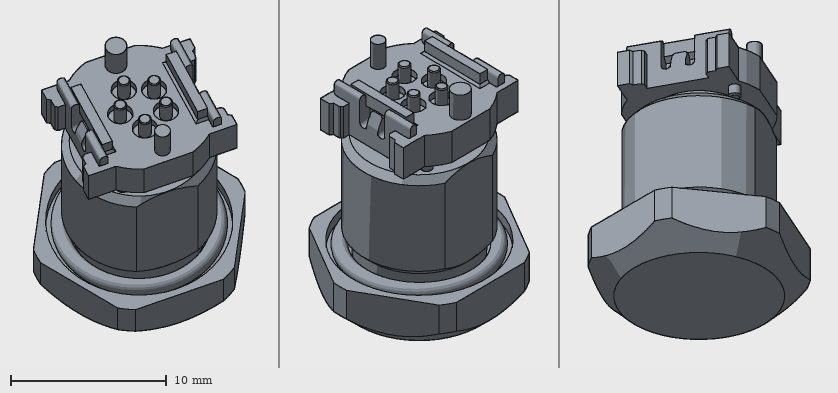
import cadquery as cq
import math

HEX_TOP = 4.0
NECK_TOP = 4.5
BODY_TOP = 12.5
CARRIER_BOTTOM = 13.5
CARRIER_TOP = 16.0
CLIP_TOP = 17.0
PEG_TOP = 18.0

HEX_ACROSS_FLATS = 13.0
HEX_CORNER_DIAMETER = 14.38
HEX_BOTTOM_RADIUS = 5.49
GROOVE_RADIUS = 6.01
GROOVE_FLOOR = 3.19

RING_OUTER_RADIUS = 5.67
RING_TOP = 4.25
RING_TUBE_RADIUS = 0.54

NECK_RADIUS = 4.34
BODY_RADIUS = 5.0
BODY_FLATS_WIDTH = 9.04
BODY_TOP_CHAMFER = 0.5
COLLAR_RADIUS = 3.1

CARRIER_WIDTH = 9.4
EAR_SPAN_X = 7.56
EAR_SPAN_Y = 10.4
RECESS_WIDTH = 4.18
RECESS_MOUTH_WIDTH = 5.94
RECESS_STEP_WIDTH = 5.62
RECESS_STEP_DEPTH = 0.23
LIP_WIDTH = 0.3
LIP_DEPTH = 0.2
LIP_BEND_WIDTH = 0.15
LIP_BEND_DEPTH = 0.04
RECESS_WALL_Y = 4.27

RAIL_LENGTH = 6.95
RAIL_INNER_Y = 3.69
RAIL_END_ROUNDING = 0.23
BAR_LENGTH = 5.04
BAR_INNER_Y = 2.99
SKIRT_WIDTH = 0.18
SKIRT_HEIGHT = 0.16

WINDOW_WIDTH = 2.27
WINDOW_BOTTOM = 14.7
SLOT_WIDTH = 0.63
UNDERCUT = 0.35
TONGUE_TOP = 16.05
TONGUE_TIP_Y = 3.8
TONGUE_BEND = 15.28
TONGUE_BEND_Y = 4.18
TONGUE_FOOT = 14.8
TONGUE_TIP_CHAMFER = 0.15

PIN_RADIUS = 0.41
PIN_CHAMFER = 0.07
PIN_HOLE_RADIUS = 0.81
PIN_HOLE_DEPTH = 0.5
PIN_POSITIONS = [(-0.95, 1.45), (0.95, 1.45), (-1.7, -0.35), (1.7, -0.35), (0, -1.33)]
PEG_X = 3.75
LARGE_PEG_RADIUS = 0.7
SMALL_PEG_RADIUS = 0.5
STUD_X = 3.3
STUD_Y = 2.61
STUD_RADIUS = 0.41
STUD_BOTTOM = 12.73
STUD_CHAMFER = 0.1

OVERLAP = 0.18


def box(x_size, y_min, y_max, z_min, z_max):
    """Box centred on X, between the given Y and Z limits."""
    return (
        cq.Workplane("XY", origin=(0, 0, z_min))
        .center(0, (y_min + y_max) / 2)
        .rect(x_size, y_max - y_min)
        .extrude(z_max - z_min)
    )


def cylinder(radius, z_min, z_max, x=0, y=0):
    """Vertical cylinder between two heights."""
    return cq.Workplane("XY", origin=(x, y, z_min)).circle(radius).extrude(z_max - z_min)


def revolve(points):
    """Solid of revolution about Z from (radius, height) points."""
    return cq.Workplane("XZ").polyline(points).close().revolve(360, (0, 0, 0), (0, 1, 0))


def on_both_sides(front_shape):
    """The -Y shape together with its mirror image on the +Y side."""
    return front_shape.union(front_shape.mirror("XZ"))


def make_base():
    """Hexagon with trimmed corners, a conical bottom and a groove on top."""
    hex_diameter = HEX_ACROSS_FLATS / math.cos(math.pi / 6)
    hexagon = cq.Workplane("XY").polygon(6, hex_diameter).extrude(HEX_TOP)
    hexagon = hexagon.rotate((0, 0, 0), (0, 0, 1), 30)
    corner_radius = HEX_CORNER_DIAMETER / 2
    cone_height = corner_radius - HEX_BOTTOM_RADIUS
    envelope = revolve([
        (0, 0),
        (HEX_BOTTOM_RADIUS, 0),
        (corner_radius, cone_height),
        (corner_radius, HEX_TOP),
        (0, HEX_TOP),
    ])
    groove = cylinder(GROOVE_RADIUS, GROOVE_FLOOR, HEX_TOP)
    return hexagon.intersect(envelope).cut(groove)


def make_ring():
    """Sealing ring, set slightly into the groove floor."""
    ring_radius = RING_OUTER_RADIUS - RING_TUBE_RADIUS
    return (
        cq.Workplane("XZ")
        .center(ring_radius, RING_TOP - RING_TUBE_RADIUS)
        .circle(RING_TUBE_RADIUS)
        .revolve(360, (-ring_radius, 0, 0), (-ring_radius, 1, 0))
    )


def make_body():
    """Neck, double-flatted body with chamfered ends, and collar."""
    lower_chamfer = BODY_RADIUS - NECK_RADIUS
    barrel = revolve([
        (0, NECK_TOP),
        (NECK_RADIUS, NECK_TOP),
        (BODY_RADIUS, NECK_TOP + lower_chamfer),
        (BODY_RADIUS, BODY_TOP - BODY_TOP_CHAMFER),
        (BODY_RADIUS - BODY_TOP_CHAMFER, BODY_TOP),
        (0, BODY_TOP),
    ])
    flats = box(BODY_FLATS_WIDTH, -BODY_RADIUS, BODY_RADIUS, NECK_TOP, BODY_TOP)
    neck = cylinder(NECK_RADIUS, GROOVE_FLOOR - OVERLAP, NECK_TOP + OVERLAP)
    collar = cylinder(COLLAR_RADIUS, BODY_TOP - OVERLAP, CARRIER_BOTTOM + OVERLAP)
    return barrel.intersect(flats).union(neck).union(collar)


def make_front_recess():
    """Recess between the two ears at -Y, with bevelled lips and a step at its mouth."""
    ear_y = -EAR_SPAN_Y / 2
    step_y = ear_y + RECESS_STEP_DEPTH
    half_width = RECESS_WIDTH / 2
    half_step = RECESS_STEP_WIDTH / 2
    half_mouth = RECESS_MOUTH_WIDTH / 2

    half_recess = (
        cq.Workplane("XY", origin=(0, 0, CARRIER_BOTTOM))
        .moveTo(0, -RECESS_WALL_Y)
        .lineTo(half_width, -RECESS_WALL_Y)
        .lineTo(half_width, step_y + LIP_DEPTH)
        .lineTo(half_width + LIP_BEND_WIDTH, step_y + LIP_BEND_DEPTH)
        .lineTo(half_width + LIP_WIDTH, step_y)
        .lineTo(half_step, step_y)
        .lineTo(half_mouth, ear_y)
        .lineTo(0, ear_y)
        .close()
        .extrude(CARRIER_TOP - CARRIER_BOTTOM)
    )
    return half_recess.union(half_recess.mirror("YZ"))


def make_carrier():
    """Carrier plate: a disc with two flats, plus a square-cornered ear block with two recesses."""
    disc = cylinder(BODY_RADIUS, CARRIER_BOTTOM, CARRIER_TOP)
    flats = box(CARRIER_WIDTH, -RECESS_WALL_Y, RECESS_WALL_Y, CARRIER_BOTTOM, CARRIER_TOP)
    ears = box(EAR_SPAN_X, -EAR_SPAN_Y / 2, EAR_SPAN_Y / 2, CARRIER_BOTTOM, CARRIER_TOP)
    recess = make_front_recess()
    return disc.intersect(flats).union(ears).cut(on_both_sides(recess))


def make_front_clip():
    """Rail with a crowned top and rounded lower ends, and the bar with a flared foot behind it."""
    shoulder = CLIP_TOP - (RECESS_WALL_Y - RAIL_INNER_Y) / 2
    middle_y = -(RECESS_WALL_Y + RAIL_INNER_Y) / 2
    rail = (
        cq.Workplane("YZ", origin=(-RAIL_LENGTH / 2, 0, 0))
        .moveTo(-RECESS_WALL_Y, CARRIER_TOP)
        .lineTo(-RECESS_WALL_Y, shoulder)
        .threePointArc((middle_y, CLIP_TOP), (-RAIL_INNER_Y, shoulder))
        .lineTo(-RAIL_INNER_Y, CARRIER_TOP)
        .close()
        .extrude(RAIL_LENGTH)
    )
    rail = rail.edges("|Y and <Z").fillet(RAIL_END_ROUNDING)
    bar = box(BAR_LENGTH, -RAIL_INNER_Y, -BAR_INNER_Y, CARRIER_TOP, CLIP_TOP)
    half_bar = BAR_LENGTH / 2
    half_foot = half_bar + SKIRT_WIDTH
    skirt_side = (
        cq.Workplane("XZ", origin=(0, -RAIL_INNER_Y, CARRIER_TOP))
        .polyline([(-half_foot, 0), (half_foot, 0), (half_bar, SKIRT_HEIGHT), (-half_bar, SKIRT_HEIGHT)])
        .close()
        .extrude(-RAIL_INNER_Y)
    )
    skirt_front = (
        cq.Workplane("YZ", origin=(-half_foot, 0, CARRIER_TOP))
        .moveTo(-RAIL_INNER_Y, 0)
        .lineTo(-BAR_INNER_Y + SKIRT_WIDTH, 0)
        .lineTo(-BAR_INNER_Y, SKIRT_HEIGHT)
        .lineTo(-RAIL_INNER_Y, SKIRT_HEIGHT)
        .close()
        .extrude(2 * half_foot)
    )
    return rail.union(bar).union(skirt_side.intersect(skirt_front))


def make_front_tongue():
    """Latch tongue with a steep ramp that curves into the recess wall."""
    width = WINDOW_WIDTH - 2 * SLOT_WIDTH
    back_y = -RAIL_INNER_Y + UNDERCUT
    profile = (
        cq.Workplane("YZ", origin=(-width / 2, 0, 0))
        .moveTo(back_y, WINDOW_BOTTOM)
        .lineTo(-RECESS_WALL_Y, WINDOW_BOTTOM)
        .lineTo(-RECESS_WALL_Y, TONGUE_FOOT)
        .tangentArcPoint((-TONGUE_BEND_Y, TONGUE_BEND), relative=False)
        .lineTo(-TONGUE_TIP_Y, TONGUE_TOP)
        .lineTo(back_y, TONGUE_TOP)
        .close()
        .extrude(width)
    )
    corner_trim = box(width, -RECESS_WALL_Y, back_y, WINDOW_BOTTOM, TONGUE_TOP)
    corner_trim = corner_trim.edges("|Y and >Z").chamfer(TONGUE_TIP_CHAMFER)
    return profile.intersect(corner_trim)


def make_front_slot(side):
    """Round-bottomed slot beside the tongue; side is -1 or 1."""
    radius = SLOT_WIDTH / 2
    centre_x = side * (WINDOW_WIDTH / 2 - radius)
    shoulder = WINDOW_BOTTOM + radius
    return (
        cq.Workplane("XZ", origin=(centre_x, -RAIL_INNER_Y + UNDERCUT, 0))
        .moveTo(-radius, CLIP_TOP)
        .lineTo(-radius, shoulder)
        .threePointArc((0, WINDOW_BOTTOM), (radius, shoulder))
        .lineTo(radius, CLIP_TOP)
        .close()
        .extrude(RECESS_WALL_Y - RAIL_INNER_Y + UNDERCUT)
    )


def make_front_window():
    """Space cut from rail and wall around the tongue, undercutting the bar."""
    tongue_width = WINDOW_WIDTH - 2 * SLOT_WIDTH
    back_y = -RAIL_INNER_Y + UNDERCUT
    middle = box(tongue_width, -RECESS_WALL_Y, back_y, TONGUE_FOOT, CLIP_TOP)
    window = middle.union(make_front_slot(-1)).union(make_front_slot(1))
    depth_limit = (
        cq.Workplane("YZ", origin=(-WINDOW_WIDTH / 2, 0, 0))
        .moveTo(-RECESS_WALL_Y, CLIP_TOP)
        .lineTo(-RAIL_INNER_Y, CLIP_TOP)
        .lineTo(-RAIL_INNER_Y, CARRIER_TOP)
        .lineTo(back_y, CARRIER_TOP - UNDERCUT)
        .lineTo(back_y, WINDOW_BOTTOM)
        .lineTo(-RECESS_WALL_Y, WINDOW_BOTTOM)
        .close()
        .extrude(WINDOW_WIDTH)
    )
    return window.intersect(depth_limit).cut(make_front_tongue())


def make_contact_pin(x, y):
    """Contact pin standing on the floor of its hole."""
    pin = cylinder(PIN_RADIUS, CARRIER_TOP - PIN_HOLE_DEPTH - OVERLAP, CLIP_TOP, x, y)
    return pin.faces(">Z").chamfer(PIN_CHAMFER)


def make_stud(x, y):
    """Chamfered stud below the carrier."""
    stud = cylinder(STUD_RADIUS, STUD_BOTTOM, CARRIER_BOTTOM + OVERLAP, x, y)
    return stud.faces("<Z").chamfer(STUD_CHAMFER)


result = make_base().union(make_ring()).union(make_body()).union(make_carrier())
result = result.union(on_both_sides(make_front_clip()))
result = result.cut(on_both_sides(make_front_window()))

for pin_x, pin_y in PIN_POSITIONS:
    hole = cylinder(PIN_HOLE_RADIUS, CARRIER_TOP - PIN_HOLE_DEPTH, CARRIER_TOP, pin_x, pin_y)
    result = result.cut(hole).union(make_contact_pin(pin_x, pin_y))

result = result.union(cylinder(LARGE_PEG_RADIUS, CARRIER_TOP - OVERLAP, PEG_TOP, -PEG_X))
result = result.union(cylinder(SMALL_PEG_RADIUS, CARRIER_TOP - OVERLAP, PEG_TOP, PEG_X))

for side in (-1, 1):
    result = result.union(make_stud(side * STUD_X, -side * STUD_Y))